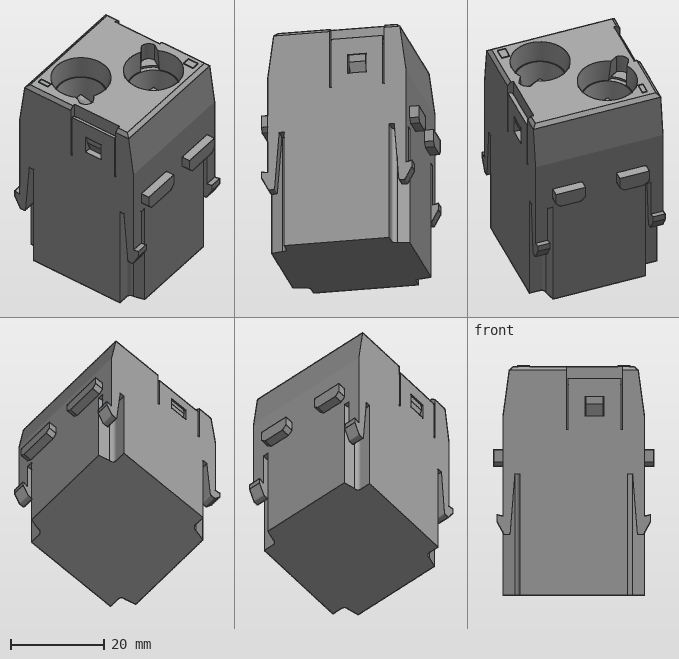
import cadquery as cq

body_width = 30.35
depth = 29.3
top_z = 49.05
taper_start_z = 38.5
shoulder_half_width = 13.75
top_chamfer = 0.8

eps = 0.05

recess_top_z = 26.05
recess_wall_x = 11.5
recess_side_y = 10.65
recess_bend_x = 12.6
recess_bend_y = 11.25
recess_wall_y = 12.2

arm_root_x = 12.6
arm_tip_x = 13.65
arm_tip_z = 13.05
arm_tip_radius = 0.4
arm_inner_y = 11.85
hook_x = 16.5
hook_top_z = 17.1
hook_lip_z = 17.35
hook_seat_x = 15.45
hook_flank_z = 15.85

overall_width = 34.3
lug_reach = overall_width / 2
lug_pitch = 14.65
lug_bottom_z = 27.6
lug_top_z = 31.2
lug_chamfer = 1.0
left_lug_width = 6.8
right_lug_width = 9.0

tongue_center_x = 4.45
tongue_width = 11.25
tongue_gap = 0.35
tongue_thickness = 1.4
tongue_top_z = 46.4
tongue_round = 1.3
notch_floor_z = 35.5

window_width = 4.1
window_bottom_z = 38.4
window_top_z = 42.65
catch_width = 3.65
catch_edge_z = 41.0
catch_recess = 0.3

well_offset = 5.55
well_top_radius = 6.45
well_ledge_outer_radius = 5.7
well_ledge_inner_radius = 5.5
well_ledge_depth = 4.8
well_floor_depth = 10.25
pin_radius = 4.2
pin_height = 5.4

key_start = 5.3
key_start_half_width = 2.05
key_shoulder = 8.05
key_shoulder_half_width = 1.45
key_tip = 8.7
key_floor_rise = 0.5
key_angle = 135

mark_length = 2.55
mark_x = 10.75
mark_z = 49.25
rear_mark_y = 11.95
rear_mark_width = 1.8
front_mark_y = 11.65
front_mark_width = 1.1


def box(x0, x1, y0, y1, z0, z1):
    """Axis-aligned block between two opposite corners."""
    return cq.Workplane("XY").box(x1 - x0, y1 - y0, z1 - z0, centered=False).translate((x0, y0, z0))


def half_turn(shape):
    """Copy turned 180 degrees about the Z axis."""
    return shape.rotate((0, 0, 0), (0, 0, 1), 180)


def housing():
    """Upright block whose left and right sides lean in above the taper line."""
    half = body_width / 2
    block = (
        cq.Workplane("XZ")
        .moveTo(-half, 0)
        .lineTo(half, 0)
        .lineTo(half, taper_start_z)
        .lineTo(shoulder_half_width, top_z)
        .lineTo(-shoulder_half_width, top_z)
        .lineTo(-half, taper_start_z)
        .close()
        .extrude(depth / 2, both=True)
    )
    return block.faces(">Z").chamfer(top_chamfer)


def corner_recess():
    """Cutter for the recess at the +X +Y corner, with a rounded inner bend."""
    side_x = body_width / 2
    outside_x = side_x + eps
    outside_y = depth / 2 + eps
    return (
        cq.Workplane("XY")
        .moveTo(recess_wall_x, outside_y)
        .lineTo(recess_wall_x, recess_wall_y)
        .tangentArcPoint((recess_bend_x, recess_bend_y), relative=False)
        .lineTo(side_x, recess_side_y)
        .lineTo(outside_x, recess_side_y)
        .lineTo(outside_x, outside_y)
        .close()
        .extrude(recess_top_z)
    )


def latch_arm():
    """Hooked arm hanging in the +X +Y corner recess."""
    side_x = body_width / 2
    arm = (
        cq.Workplane("XZ", origin=(0, depth / 2, 0))
        .moveTo(arm_root_x, recess_top_z + eps)
        .lineTo(side_x, recess_top_z + eps)
        .lineTo(side_x, hook_top_z)
        .lineTo(hook_seat_x, hook_top_z)
        .lineTo(hook_x, hook_lip_z)
        .lineTo(hook_x, hook_flank_z)
        .lineTo(side_x - arm_tip_radius / 2, arm_tip_z)
        .lineTo(arm_tip_x, arm_tip_z)
        .close()
        .extrude(depth / 2 - arm_inner_y)
    )
    return arm.edges("|Y and <Z").fillet(arm_tip_radius)


def at_four_corners(shape):
    """The shape and its mirror images in the other three corners."""
    pair = shape.union(shape.mirror("YZ"))
    return pair.union(pair.mirror("XZ"))


def lug(center_y, width, side):
    """Lug on the right (side = 1) or left (side = -1), with its lower corners cut off."""
    block = box(0, lug_reach, -width / 2, width / 2, lug_bottom_z, lug_top_z)
    block = block.edges("|X and <Z").chamfer(lug_chamfer)
    if side < 0:
        block = half_turn(block)
    return block.translate((0, center_y, 0))


def tongue_notch():
    """Cutter around the front tongue: side gaps, space above it and its rounded inner edge."""
    face_y = -depth / 2
    inner_y = face_y + tongue_thickness
    half_notch = tongue_width / 2 + tongue_gap
    notch = box(
        tongue_center_x - half_notch, tongue_center_x + half_notch,
        face_y - eps, inner_y, notch_floor_z, top_z + eps,
    )
    tongue = box(
        tongue_center_x - tongue_width / 2, tongue_center_x + tongue_width / 2,
        face_y - eps, inner_y, notch_floor_z, tongue_top_z,
    )
    tongue = tongue.edges("|X and >Y and >Z").fillet(tongue_round)
    return notch.cut(tongue)


def catch_window():
    """Cutter for the window in the front tongue, leaving the wedge-shaped catch inside it."""
    face_y = -depth / 2
    inner_y = face_y + tongue_thickness
    window = box(
        tongue_center_x - window_width / 2, tongue_center_x + window_width / 2,
        face_y - eps, inner_y, window_bottom_z, window_top_z,
    )
    catch = (
        cq.Workplane("YZ", origin=(tongue_center_x, 0, 0))
        .moveTo(inner_y, window_bottom_z)
        .lineTo(inner_y, window_top_z)
        .lineTo(face_y + catch_recess, window_top_z)
        .lineTo(face_y + catch_recess, catch_edge_z)
        .close()
        .extrude(catch_width / 2, both=True)
    )
    return window.cut(catch)


def key_lobe(ledge_z):
    """Cutter for the lobe of a well on the Z axis; within the well rim it drops to the ledge."""
    at_ledge = cq.Workplane("XY", origin=(0, 0, ledge_z))
    lobe = (
        at_ledge
        .moveTo(key_start, -key_start_half_width)
        .lineTo(key_shoulder, -key_shoulder_half_width)
        .threePointArc((key_tip, 0), (key_shoulder, key_shoulder_half_width))
        .lineTo(key_start, key_start_half_width)
        .close()
        .extrude(well_ledge_depth)
    )
    raised_floor = at_ledge.circle(key_tip + eps).circle(well_top_radius).extrude(key_floor_rise)
    return lobe.cut(raised_floor).rotate((0, 0, 0), (0, 0, 1), key_angle)


def contact_well():
    """Cutter for the rear right well: stepped tapered bore, conical pin and key lobe."""
    ledge_z = top_z - well_ledge_depth
    floor_z = top_z - well_floor_depth
    bore = (
        cq.Workplane("XZ")
        .moveTo(0, top_z)
        .lineTo(well_top_radius, top_z)
        .lineTo(well_ledge_outer_radius, ledge_z)
        .lineTo(well_ledge_inner_radius, ledge_z)
        .lineTo(pin_radius, floor_z)
        .lineTo(0, floor_z + pin_height)
        .close()
        .revolve(360, (0, 0, 0), (0, 1, 0))
    )
    return bore.union(key_lobe(ledge_z)).translate((well_offset, well_offset, 0))


def raised_mark(center_y, width):
    """Low bar on the top face, beside the rear right well."""
    return box(
        mark_x - mark_length / 2, mark_x + mark_length / 2,
        center_y - width / 2, center_y + width / 2, top_z - eps, mark_z,
    )


result = housing()
result = result.cut(at_four_corners(corner_recess()))
result = result.union(at_four_corners(latch_arm()))

for lug_y in (-lug_pitch / 2, lug_pitch / 2):
    result = result.union(lug(lug_y, left_lug_width, -1))
    result = result.union(lug(lug_y, right_lug_width, 1))

for cutter in (tongue_notch(), catch_window(), contact_well()):
    result = result.cut(cutter).cut(half_turn(cutter))

result = result.union(raised_mark(rear_mark_y, rear_mark_width))
result = result.union(half_turn(raised_mark(front_mark_y, front_mark_width)))